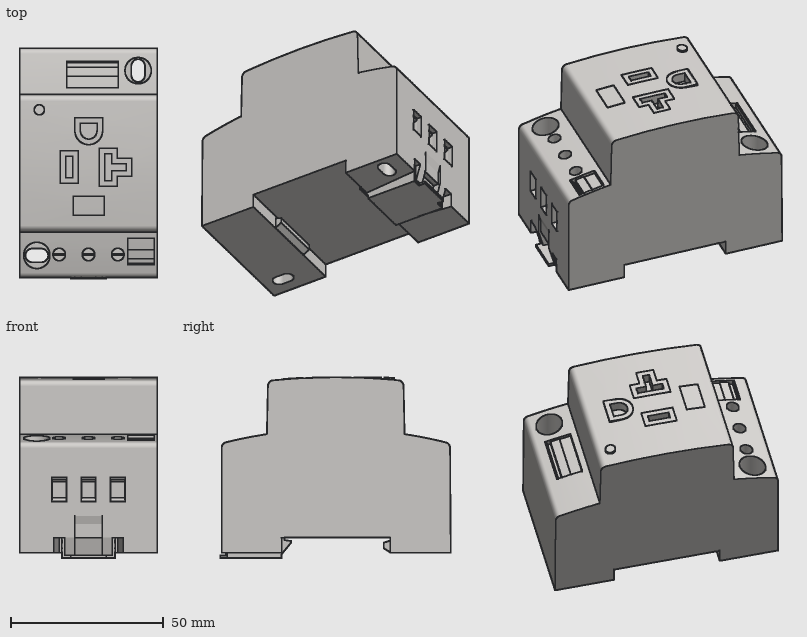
import cadquery as cq
import math


width = 45.0
half_width = width / 2
foot_back_y = 75.0
back_draft = 0.2
mid_y = 37.4
rail_front_y = 19.6
rail_back_y = 55.2
rail_depth = 5.0
shoulder_crest_z = 40.6
shoulder_radius = 149.45
shoulder_round = 2.0
tower_crest_z = 57.45
tower_radius = 226.45
tower_round = 2.0
tower_half_depth = 22.6
tower_draft = 0.4

pad_top_z = 57.5
pad_border = 1.8
contact_depth = 3.4
ground_x, ground_y = 0.1, 48.0
ground_radius = 2.7
ground_straight = 2.5
neutral_x, neutral_y = -6.3, 36.15
neutral_size = (2.3, 6.95)
live_x, live_y = 6.5, 36.1
live_size = (2.2, 8.75)
live_arm_end_x = 12.4
label_centre = (0.1, 23.5)
label_size = (10.3, 6.1)
label_height = 0.15
lamp_centre = (-16.1, 54.9)
lamp_radius = 1.65
lamp_height = 0.6

well_radius = 4.3
well_floor_z = 15.1
slot_length = 7.4
slot_width = 4.4
front_well = (-16.9, 7.25)
back_well = (16.2, 67.7)

terminal_pitch = 9.6
screw_y = 7.55
screw_radius = 2.05
screw_head_z = 30.2
screw_groove_width = 0.5
screw_groove_depth = 0.75
window_width = 4.8
window_bottom_z = 16.7
window_height = 8.0
window_mouth_depth = 1.7
window_depth = 3.0
window_floor_step = 0.3
window_ceiling_step = 0.5
window_end_inset = 1.35
window_side_taper = 0.15

marker_length = 8.6
marker_depth = 1.05
marker_step_at = 3.7
marker_step = 0.2
marker_plate_end = 6.7
marker_gap_depth = 1.8
marker_sill_at = 8.1
marker_sill_depth = 0.1
front_marker_x = (12.8, 21.4)
front_marker_inner_y = 12.8
back_marker_x = (-7.1, 9.65)
back_marker_inner_y = 62.1

notch_half_front = 11.4
notch_half_back = 9.5
latch_half_width = 8.7
latch_bottom_z = -1.65
latch_front_y = 1.8
wedge_half_width = 7.85
latch_slope = 0.28
tab_half_width = 5.7
tab_front_y = -0.45
tab_thickness = 0.9
finger_half_width = 4.45
finger_top_z = 12.15
finger_depth = 0.75
finger_root_y = 2.5

hook_neck = 1.05
hook_reach = 3.25
hook_shelf_z = 4.2
hook_shelf_fall = 0.3
hook_nose_z = 3.5
hook_root_z = -0.5

nose_reach = 2.1
nose_top_z = 4.1
nose_top_fall = 0.7
nose_bottom_z = 1.5
nose_root_z = 0.15


def block(x0, x1, y0, y1, z0, z1):
    return cq.Workplane("XY").box(x1 - x0, y1 - y0, z1 - z0, centered=False).translate((x0, y0, z0))


def side_prism(points, x0, x1):
    """Prism along X from an outline of (y, z) points."""
    return cq.Workplane("YZ").polyline(points).close().extrude(x1 - x0).translate((x0, 0, 0))


def arch_cylinder(crest_z, radius, offset):
    """Full-width cylinder whose top runs parallel to an arched face, `offset` above it."""
    axis = cq.Workplane("YZ").center(mid_y, crest_z - radius)
    return axis.circle(radius + offset).extrude(half_width, both=True)


def arch_z(crest_z, radius, y):
    return crest_z - radius + math.sqrt(radius**2 - (y - mid_y) ** 2)


def shoulder_z(y):
    return arch_z(shoulder_crest_z, shoulder_radius, y)


def tower_z(y):
    return arch_z(tower_crest_z, tower_radius, y)


def make_housing():
    back_top_y = foot_back_y - back_draft
    tower_front_y = mid_y - tower_half_depth
    tower_back_y = mid_y + tower_half_depth
    top_front_y = tower_front_y + tower_draft
    top_back_y = tower_back_y - tower_draft
    front_mid_y = tower_front_y / 2
    back_mid_y = (tower_back_y + back_top_y) / 2
    outline = (
        cq.Workplane("YZ")
        .moveTo(0, 0)
        .lineTo(0, shoulder_z(0))
        .threePointArc((front_mid_y, shoulder_z(front_mid_y)), (tower_front_y, shoulder_z(tower_front_y)))
        .lineTo(top_front_y, tower_z(top_front_y))
        .threePointArc((mid_y, tower_crest_z), (top_back_y, tower_z(top_back_y)))
        .lineTo(tower_back_y, shoulder_z(tower_back_y))
        .threePointArc((back_mid_y, shoulder_z(back_mid_y)), (back_top_y, shoulder_z(back_top_y)))
        .lineTo(foot_back_y, 0)
        .lineTo(rail_back_y, 0)
        .lineTo(rail_back_y, rail_depth)
        .lineTo(rail_front_y, rail_depth)
        .lineTo(rail_front_y, 0)
        .close()
    )
    housing = outline.extrude(half_width, both=True)

    def round_corner(body, y, z, radius):
        corner = cq.selectors.NearestToPointSelector((0, y, z))
        return body.edges("|X").edges(corner).fillet(radius)

    for y in (0, back_top_y):
        housing = round_corner(housing, y, shoulder_z(y), shoulder_round)
    for y in (top_front_y, top_back_y):
        housing = round_corner(housing, y, tower_z(y), tower_round)
    return housing


def rectangle(centre, size, border, z0, z1):
    x, y = centre
    half_x = size[0] / 2 + border
    half_y = size[1] / 2 + border
    return block(x - half_x, x + half_x, y - half_y, y + half_y, z0, z1)


def ground_shape(border, z0, z1):
    """D-shaped prism with the flat side to the back."""
    radius = ground_radius + border
    back_half = block(
        ground_x - radius, ground_x + radius, ground_y, ground_y + ground_straight + border, z0, z1
    )
    disc = cq.Workplane("XY", origin=(ground_x, ground_y, z0)).circle(radius).extrude(z1 - z0)
    return disc.intersect(
        block(ground_x - radius, ground_x + radius, ground_y - radius, ground_y, z0, z1)
    ).union(back_half)


def neutral_shape(border, z0, z1):
    return rectangle((neutral_x, neutral_y), neutral_size, border, z0, z1)


def live_shape(border, z0, z1):
    """T-shaped prism: upright bar with an arm toward +X."""
    arm_half = live_size[0] / 2 + border
    bar = rectangle((live_x, live_y), live_size, border, z0, z1)
    arm = block(live_x, live_arm_end_x + border, live_y - arm_half, live_y + arm_half, z0, z1)
    return bar.union(arm)


def add_socket_face(body):
    root_z = tower_crest_z - tower_round
    floor_z = pad_top_z - contact_depth
    contacts = (ground_shape, neutral_shape, live_shape)
    for shape in contacts:
        body = body.union(shape(pad_border, root_z, pad_top_z))
    for shape in contacts:
        body = body.cut(shape(0, floor_z, pad_top_z))

    over_z = tower_crest_z + lamp_height
    label = rectangle(label_centre, label_size, 0, root_z, over_z)
    lamp = cq.Workplane("XY", origin=(*lamp_centre, root_z)).circle(lamp_radius).extrude(over_z - root_z)
    for item, height in ((label, label_height), (lamp, lamp_height)):
        body = body.union(item.intersect(arch_cylinder(tower_crest_z, tower_radius, height)))
    return body


def mounting_hole(centre, slot_angle):
    well_top = cq.Workplane("XY", origin=(*centre, well_floor_z))
    well = well_top.circle(well_radius).extrude(shoulder_crest_z - well_floor_z)
    base = cq.Workplane("XY", origin=(*centre, 0))
    return well.union(base.slot2D(slot_length, slot_width, slot_angle).extrude(shoulder_crest_z))


def screw_hole(x):
    bore_height = shoulder_crest_z - screw_head_z
    bore = cq.Workplane("XY", origin=(x, screw_y, screw_head_z)).circle(screw_radius)
    groove_bottom = screw_head_z - screw_groove_depth
    groove_disc = cq.Workplane("XY", origin=(x, screw_y, groove_bottom)).circle(screw_radius)
    half_groove = screw_groove_width / 2
    groove = groove_disc.extrude(screw_groove_depth).intersect(
        block(
            x - screw_radius, x + screw_radius,
            screw_y - half_groove, screw_y + half_groove,
            groove_bottom, screw_head_z,
        )
    )
    return bore.extrude(bore_height).union(groove)


def terminal_window(x):
    """Straight mouth followed by a throat that tapers to the back face."""
    half = window_width / 2
    top_z = window_bottom_z + window_height
    mouth = block(x - half, x + half, 0, window_mouth_depth, window_bottom_z, top_z)
    throat_bottom = window_bottom_z + window_floor_step
    throat_top = top_z - window_ceiling_step
    throat_height = throat_top - throat_bottom
    throat_length = window_depth - window_mouth_depth
    back_mid_z = window_bottom_z + window_height / 2
    front_mid_z = (throat_bottom + throat_top) / 2
    throat = (
        cq.Workplane("XZ", origin=(x, window_mouth_depth, front_mid_z))
        .rect(window_width, throat_height)
        .workplane(offset=-throat_length)
        .center(0, back_mid_z - front_mid_z)
        .rect(window_width - 2 * window_side_taper, window_height - 2 * window_end_inset)
        .loft()
    )
    return mouth.union(throat)


def marker_window(x_range, inner_y, outward):
    """Stepped pocket parallel to the shoulder; `outward` is -1 at the front and +1 at the back."""
    steps = (
        (0, marker_step_at, marker_depth),
        (marker_step_at, marker_plate_end, marker_depth - marker_step),
        (marker_plate_end, marker_sill_at, marker_gap_depth),
        (marker_sill_at, marker_length, marker_sill_depth),
    )
    pocket = None
    for start, end, depth in steps:
        y0, y1 = sorted((inner_y + outward * start, inner_y + outward * end))
        strip = block(*x_range, y0, y1, 0, shoulder_crest_z)
        strip = strip.cut(arch_cylinder(shoulder_crest_z, shoulder_radius, -depth))
        pocket = strip if pocket is None else pocket.union(strip)
    return pocket


def latch_notch():
    """Opening through the front foot that narrows toward the rail."""
    plan = [
        (-notch_half_front, 0),
        (notch_half_front, 0),
        (notch_half_back, rail_front_y),
        (-notch_half_back, rail_front_y),
    ]
    return cq.Workplane("XY").polyline(plan).close().extrude(rail_depth)


def finger_recess():
    """Shallow recess above the latch with a sloped upper face."""
    return side_prism(
        [
            (0, finger_top_z),
            (finger_depth, finger_top_z - finger_depth / latch_slope),
            (finger_depth, rail_depth),
            (0, rail_depth),
        ],
        -finger_half_width,
        finger_half_width,
    )


def make_latch():
    tab_top_z = latch_bottom_z + tab_thickness
    setback = latch_slope * (rail_depth - tab_top_z)
    slider = block(
        -latch_half_width, latch_half_width, latch_front_y, rail_front_y, latch_bottom_z, rail_depth
    )
    wedge = side_prism(
        [(0, rail_depth), (setback, tab_top_z), (latch_front_y, tab_top_z), (latch_front_y, rail_depth)],
        -wedge_half_width,
        wedge_half_width,
    )
    finger_slot = side_prism(
        [(0, rail_depth), (finger_root_y, rail_depth), (finger_root_y + setback, tab_top_z), (0, tab_top_z)],
        -finger_half_width,
        finger_half_width,
    )
    tab = block(-tab_half_width, tab_half_width, tab_front_y, latch_front_y, latch_bottom_z, tab_top_z)
    hook = side_prism(
        [
            (rail_front_y, rail_depth),
            (rail_front_y + hook_neck, rail_depth),
            (rail_front_y + hook_neck, hook_shelf_z),
            (rail_front_y + hook_reach, hook_shelf_z - hook_shelf_fall),
            (rail_front_y + hook_reach, hook_nose_z),
            (rail_front_y, hook_root_z),
        ],
        -latch_half_width,
        latch_half_width,
    )
    return slider.union(wedge).cut(finger_slot).union(tab).union(hook)


def back_hook():
    """Fixed nose on the back foot that grips the rail."""
    nose_y = rail_back_y - nose_reach
    return side_prism(
        [
            (rail_back_y, nose_top_z),
            (nose_y, nose_top_z - nose_top_fall),
            (nose_y, nose_bottom_z),
            (rail_back_y, nose_root_z),
        ],
        -latch_half_width,
        latch_half_width,
    )


result = add_socket_face(make_housing())
result = result.cut(mounting_hole(front_well, 0))
result = result.cut(mounting_hole(back_well, 90))
for position in (-1, 0, 1):
    terminal_x = position * terminal_pitch
    result = result.cut(screw_hole(terminal_x))
    result = result.cut(terminal_window(terminal_x))
result = result.cut(marker_window(front_marker_x, front_marker_inner_y, -1))
result = result.cut(marker_window(back_marker_x, back_marker_inner_y, 1))
result = result.cut(latch_notch()).cut(finger_recess())
result = result.union(make_latch()).union(back_hook())